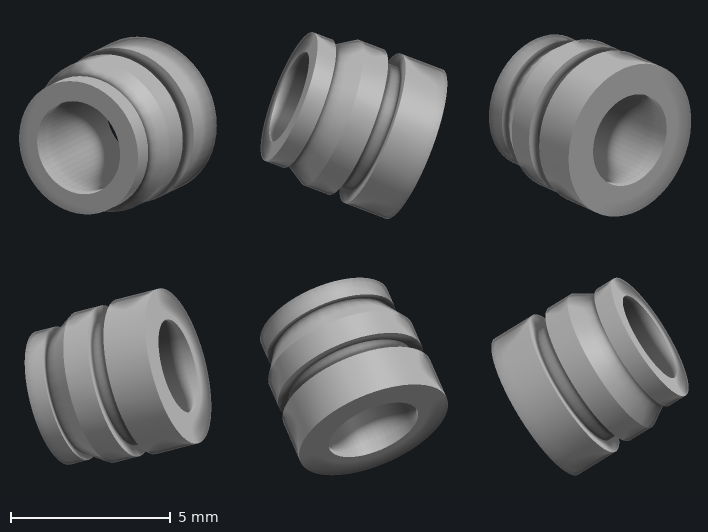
import cadquery as cq

flange_diameter = 5.0
groove_diameter = 4.15
land_diameter = 4.87
cone_end_diameter = 3.87
collar_diameter = 4.3
bore_diameter = 3.0

total_length = 4.3
collar_length = 0.635
cone_length = 0.82
land_length = 0.84
groove_length = 0.57

cone_start = collar_length
land_start = cone_start + cone_length
groove_start = land_start + land_length
flange_start = groove_start + groove_length

half_profile = [
    (bore_diameter / 2, 0),
    (collar_diameter / 2, 0),
    (collar_diameter / 2, cone_start),
    (cone_end_diameter / 2, cone_start),
    (land_diameter / 2, land_start),
    (land_diameter / 2, groove_start),
    (groove_diameter / 2, groove_start),
    (groove_diameter / 2, flange_start),
    (flange_diameter / 2, flange_start),
    (flange_diameter / 2, total_length),
    (bore_diameter / 2, total_length),
]

result = cq.Workplane("XY").polyline(half_profile).close().revolve(360, (0, 0, 0), (0, 1, 0))